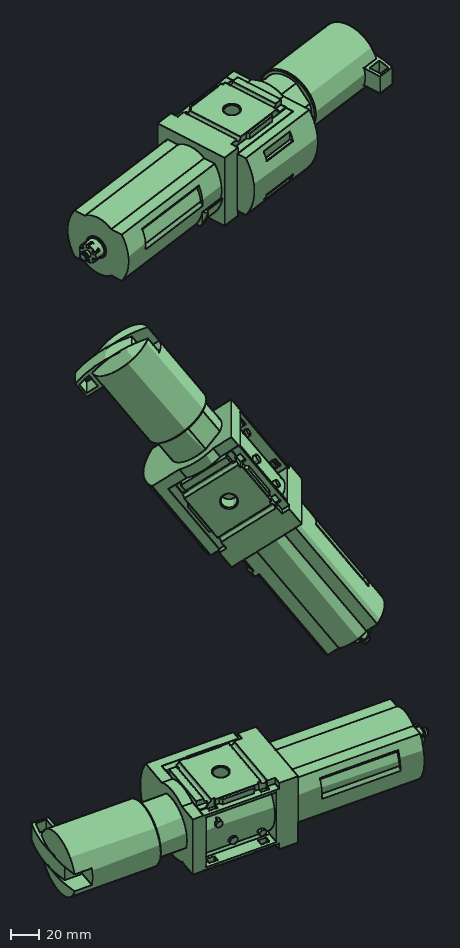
import cadquery as cq
import math

LENGTH = 300.3

KNOB_RADIUS = 51 / 2
KNOB_START = 227.3
KNOB_RIM = 296.7
KNOB_CHAMFER = 1.0
SLOT_START = 283.0
SLOT_WIDTH = 15.5

SLIDE_LENGTH = 49.5
SLIDE_TIP = 39.0
EYE_WALL = 1.8
EYE_TOP_WALL = 3.0
EYE_BASE = 285.5
EYE_WIDTH = 10.0

NECK_RADIUS = 22.2
NECK_FLAT = 20.5

HOUSING_HALF_HEIGHT = 62.0 / 2
HOUSING_HALF_WIDTH = 30.5
HOUSING_START = 120.5
HOUSING_END = 205.0
LEDGE_START = 135.5
LEDGE_END = 196.5
FLANGE_HALF_HEIGHT = 25.8
LEDGE_HALF_HEIGHT = 25.5
SHOULDER_HALF_HEIGHT = 26.5
CROWN_RADIUS = 29.7
PLATE_HALF_WIDTH = 24.3
TAB_HALF_WIDTH = 19.8
GROOVE_WIDTH = 4.2
GROOVE_DEPTH = 2.7
UPPER_GROOVE = 188.3
LOWER_GROOVE = 143.8
LABEL_START = 152.0
LABEL_END = 180.2
LABEL_CHAMFER = 1.5
LABEL_OFFSET = 2.0
LABEL_HALF_HEIGHT = 30.3
CLIP_HOLE_X = (-27.5, -22.8)
CLIP_HOLES_Y = ((183.5, 190.0), (141.7, 148.3))
PORT_Y = 165.8
PORT_DIAMETER = 11.5
PORT_RIM_DIAMETER = 13.0
PORT_RIM_DEPTH = 1.0
PORT_DEPTH = 12.0

POCKET_START = 137.8
POCKET_END = 194.3
POCKET_MOUTH_HALF = 23.0
POCKET_FLOOR_HALF = 21.3
CORE_RADIUS = 28.5
STUD_END = -29.7
STUDS = ((183.2, 11.5, 5.5), (171.5, -8.7, 6.3), (148.0, -11.0, 5.5))

COVER_START = 134.5
COVER_EDGE = 38.5
COVER_TIP = 46.2
COVER_SLOT = (151.7, 180.8)
COVER_SLOT_X = (40.5, 43.5)
COVER_SLOT_FLOOR = 15.0

BOWL_START = 17.0
BOWL_FLAT_HALF = 21.0
BOWL_CORNER = 21.5
BOWL_SIDE = 28.0
BOWL_CROWN_HALF = 12.0
BOWL_CROWN = 25.2
WINDOW_START = 36.3
WINDOW_END = 99.5
WINDOW_LOW = -1.0
WINDOW_HIGH = 16.0
WINDOW_FLOOR_RADIUS = 26.0
WINDOW_TAPER = 3.0

LATCH_START = 99.7
LATCH_PEAK = 101.8
LATCH_SHOULDER = 104.0
LATCH_LOW = -21.0
LATCH_HIGH = -7.2
LATCH_THICKNESS = 1.5
LATCH_RISE = 3.5

DOME_RADIUS = 21.5
DOME_FLAT_RADIUS = 11.7
DOME_END = 15.5
DOME_MIDDLE = 16.2
RING_RADIUS = 8.7
RING_END = 14.7
DRAIN_RADIUS = 15 / 2
DRAIN_END = 5.7
DRAIN_NOTCHES = 6
DRAIN_NOTCH_DIAMETER = 2.7
DRAIN_NOTCH_RADIUS = 6.3
DRAIN_NOTCH_DEPTH = 4.8
STEM_RADIUS = 5.5 / 2
COLLAR_RADIUS = 3.3
COLLAR_START = 1.0
COLLAR_END = 2.7


def box(x, y, z):
    """Box between the given (low, high) limits."""
    return cq.Workplane("XY").box(
        x[1] - x[0], y[1] - y[0], z[1] - z[0], centered=False
    ).translate((x[0], y[0], z[0]))


def section(y):
    """Workplane across the axis at y; its normal points to -Y and its local axes are X and Z."""
    return cq.Workplane("XZ", origin=(0, y, 0))


def cylinder(radius, start, end):
    return section(end).circle(radius).extrude(end - start)


def both_sides(shape, plane):
    """Shape together with its mirror image."""
    return shape.union(shape.mirror(plane))


def make_knob():
    knob = (
        cq.Workplane("XY")
        .moveTo(0, KNOB_START)
        .lineTo(KNOB_RADIUS - KNOB_CHAMFER, KNOB_START)
        .lineTo(KNOB_RADIUS, KNOB_START + KNOB_CHAMFER)
        .lineTo(KNOB_RADIUS, KNOB_RIM)
        .threePointArc(dome_point(KNOB_RADIUS / 2), (0, LENGTH))
        .close()
        .revolve(360, (0, 0, 0), (0, 1, 0))
    )
    half = SLOT_WIDTH / 2
    slot = box((-KNOB_RADIUS, KNOB_RADIUS), (SLOT_START, LENGTH), (-half, half))
    return knob.cut(slot)


def dome_point(x):
    """Point on the domed end of the knob, x away from its axis."""
    height = LENGTH - KNOB_RIM
    radius = (KNOB_RADIUS ** 2 + height ** 2) / (2 * height)
    return x, LENGTH - radius + math.sqrt(radius ** 2 - x ** 2)


def make_neck():
    neck = cylinder(NECK_RADIUS, HOUSING_END, KNOB_START)
    flats = (
        section(KNOB_START)
        .rect(2 * NECK_FLAT, 2 * NECK_RADIUS)
        .extrude(KNOB_START - HOUSING_END)
        .rotate((0, 0, 0), (0, 1, 0), -45)
    )
    return neck.intersect(flats)


def make_top_plate():
    """Raised plate on the +Z face with a tab, two grooves and a label strip on each side."""
    levels = (0, HOUSING_HALF_HEIGHT)
    sides = (-PLATE_HALF_WIDTH, PLATE_HALF_WIDTH)
    plate = box(sides, (LEDGE_START, UPPER_GROOVE), levels)
    shoulder = box(sides, (UPPER_GROOVE, LEDGE_END), (0, SHOULDER_HALF_HEIGHT))
    tab = box((-TAB_HALF_WIDTH, TAB_HALF_WIDTH), (UPPER_GROOVE, LEDGE_END), levels)
    plate = plate.union(tab)
    for y in (UPPER_GROOVE, LOWER_GROOVE):
        plate = plate.cut(make_groove(y))
    plate = plate.union(shoulder.cut(make_groove(UPPER_GROOVE)))
    return plate.union(both_sides(make_label(), "YZ"))


def make_groove(y):
    """Round-bottomed groove across the plate, centred at y."""
    half = GROOVE_WIDTH / 2
    return (
        cq.Workplane("YZ", origin=(-PLATE_HALF_WIDTH, y, HOUSING_HALF_HEIGHT))
        .moveTo(-half, 0)
        .threePointArc((0, -GROOVE_DEPTH), (half, 0))
        .close()
        .extrude(2 * PLATE_HALF_WIDTH)
    )


def make_label():
    """Strip on the +X edge of the plate, a little lower than the plate."""
    outer = PLATE_HALF_WIDTH + LABEL_OFFSET
    return (
        cq.Workplane("XY")
        .moveTo(0, LABEL_START)
        .lineTo(PLATE_HALF_WIDTH, LABEL_START)
        .lineTo(outer, LABEL_START + LABEL_CHAMFER)
        .lineTo(outer, LABEL_END - LABEL_CHAMFER)
        .lineTo(PLATE_HALF_WIDTH, LABEL_END)
        .lineTo(0, LABEL_END)
        .close()
        .extrude(LABEL_HALF_HEIGHT)
    )


def make_clip_holes():
    """Openings through the ledges into the side pocket, outside the round core."""
    height = (-HOUSING_HALF_HEIGHT, HOUSING_HALF_HEIGHT)
    first, second = (box(CLIP_HOLE_X, y, height) for y in CLIP_HOLES_Y)
    core = cylinder(CORE_RADIUS, HOUSING_START, HOUSING_END)
    return first.union(second).cut(core)


def make_port():
    mouth = cq.Workplane("XY", origin=(0, PORT_Y, HOUSING_HALF_HEIGHT))
    rim = (
        mouth.circle(PORT_RIM_DIAMETER / 2)
        .workplane(offset=-PORT_RIM_DEPTH)
        .circle(PORT_DIAMETER / 2)
        .loft()
    )
    return rim.union(mouth.circle(PORT_DIAMETER / 2).extrude(-PORT_DEPTH))


def make_side_pocket():
    """Recess in the -X face, chamfered along the round core that it leaves standing."""
    chamfer_end = -math.sqrt(CORE_RADIUS ** 2 - POCKET_FLOOR_HALF ** 2)
    chamfer_start = chamfer_end - (POCKET_MOUTH_HALF - POCKET_FLOOR_HALF)
    pocket = (
        section(POCKET_END)
        .moveTo(-HOUSING_HALF_WIDTH, -POCKET_MOUTH_HALF)
        .lineTo(-HOUSING_HALF_WIDTH, POCKET_MOUTH_HALF)
        .lineTo(chamfer_start, POCKET_MOUTH_HALF)
        .lineTo(chamfer_end, POCKET_FLOOR_HALF)
        .lineTo(chamfer_end, -POCKET_FLOOR_HALF)
        .lineTo(chamfer_start, -POCKET_MOUTH_HALF)
        .close()
        .extrude(POCKET_END - POCKET_START)
    )
    pocket = pocket.cut(cylinder(CORE_RADIUS, POCKET_START, POCKET_END))
    for y, z, diameter in STUDS:
        stud = cq.Workplane("YZ", origin=(STUD_END, y, z)).circle(diameter / 2).extrude(-STUD_END)
        pocket = pocket.cut(stud)
    return pocket


def make_housing():
    width = (-HOUSING_HALF_WIDTH, HOUSING_HALF_WIDTH)
    height = (-HOUSING_HALF_HEIGHT, HOUSING_HALF_HEIGHT)
    lower_block = box(width, (HOUSING_START, LEDGE_START), height)
    middle = box(width, (LEDGE_START, LEDGE_END), (-LEDGE_HALF_HEIGHT, LEDGE_HALF_HEIGHT))
    flange = box(width, (LEDGE_END, HOUSING_END), (-FLANGE_HALF_HEIGHT, FLANGE_HALF_HEIGHT))
    housing = lower_block.union(middle).union(flange)
    housing = housing.union(cylinder(CROWN_RADIUS, LEDGE_END, HOUSING_END))
    housing = housing.union(both_sides(make_top_plate(), "XY"))
    housing = housing.cut(both_sides(make_port(), "XY"))
    return housing.cut(make_side_pocket()).cut(make_clip_holes())


def make_cover():
    cover = (
        section(HOUSING_END)
        .moveTo(HOUSING_HALF_WIDTH, -FLANGE_HALF_HEIGHT)
        .lineTo(COVER_EDGE, -FLANGE_HALF_HEIGHT)
        .threePointArc((COVER_TIP, 0), (COVER_EDGE, FLANGE_HALF_HEIGHT))
        .lineTo(HOUSING_HALF_WIDTH, FLANGE_HALF_HEIGHT)
        .close()
        .extrude(HOUSING_END - COVER_START)
    )
    slot = box(COVER_SLOT_X, COVER_SLOT, (COVER_SLOT_FLOOR, FLANGE_HALF_HEIGHT))
    return cover.cut(both_sides(slot, "XY"))


def bowl_side_x(z):
    """Half width of the bowl at height z, on its bulged side."""
    bulge = BOWL_SIDE - BOWL_CORNER
    radius = (BOWL_FLAT_HALF ** 2 + bulge ** 2) / (2 * bulge)
    return BOWL_SIDE - radius + math.sqrt(radius ** 2 - z ** 2)


def window_floor_x(z):
    """Distance of the window floor from the bowl axis at height z; the floor is round about the bowl axis."""
    return math.sqrt(WINDOW_FLOOR_RADIUS ** 2 - z ** 2)


def make_window():
    """Recess in the +X side of the bowl, with sloping long walls and a round floor."""
    middle = (WINDOW_LOW + WINDOW_HIGH) / 2
    floor_low = WINDOW_LOW + WINDOW_TAPER
    floor_high = WINDOW_HIGH - WINDOW_TAPER
    return (
        section(WINDOW_END)
        .moveTo(bowl_side_x(WINDOW_LOW), WINDOW_LOW)
        .lineTo(window_floor_x(floor_low), floor_low)
        .threePointArc(
            (window_floor_x(middle), middle),
            (window_floor_x(floor_high), floor_high),
        )
        .lineTo(bowl_side_x(WINDOW_HIGH), WINDOW_HIGH)
        .lineTo(BOWL_SIDE, WINDOW_HIGH)
        .lineTo(BOWL_SIDE, WINDOW_LOW)
        .close()
        .extrude(WINDOW_END - WINDOW_START)
    )


def make_bowl():
    bowl = (
        section(HOUSING_START)
        .moveTo(-BOWL_CROWN_HALF, BOWL_FLAT_HALF)
        .threePointArc((0, BOWL_CROWN), (BOWL_CROWN_HALF, BOWL_FLAT_HALF))
        .lineTo(BOWL_CORNER, BOWL_FLAT_HALF)
        .threePointArc((BOWL_SIDE, 0), (BOWL_CORNER, -BOWL_FLAT_HALF))
        .lineTo(BOWL_CROWN_HALF, -BOWL_FLAT_HALF)
        .threePointArc((0, -BOWL_CROWN), (-BOWL_CROWN_HALF, -BOWL_FLAT_HALF))
        .lineTo(-BOWL_CORNER, -BOWL_FLAT_HALF)
        .threePointArc((-BOWL_SIDE, 0), (-BOWL_CORNER, BOWL_FLAT_HALF))
        .close()
        .extrude(HOUSING_START - BOWL_START)
    )
    return bowl.cut(both_sides(make_window(), "YZ"))


def latch_layer(thickness, start, end):
    """Strip that lies on the bulged +X side of the bowl."""
    middle = (LATCH_LOW + LATCH_HIGH) / 2
    return (
        section(end)
        .moveTo(0, LATCH_LOW)
        .lineTo(bowl_side_x(LATCH_LOW) + thickness, LATCH_LOW)
        .threePointArc(
            (bowl_side_x(middle) + thickness, middle),
            (bowl_side_x(LATCH_HIGH) + thickness, LATCH_HIGH),
        )
        .lineTo(0, LATCH_HIGH)
        .close()
        .extrude(end - start)
    )


def make_latch():
    """Thin strip that ends in a wedge-shaped finger grip."""
    base = bowl_side_x(LATCH_HIGH)
    grip_profile = (
        cq.Workplane("XY", origin=(0, 0, LATCH_LOW))
        .moveTo(0, LATCH_START)
        .lineTo(base, LATCH_START)
        .lineTo(base + LATCH_RISE, LATCH_PEAK)
        .lineTo(base + LATCH_THICKNESS, LATCH_SHOULDER)
        .lineTo(0, LATCH_SHOULDER)
        .close()
        .extrude(LATCH_HIGH - LATCH_LOW)
    )
    grip = latch_layer(LATCH_RISE, LATCH_START, LATCH_SHOULDER).intersect(grip_profile)
    return latch_layer(LATCH_THICKNESS, LATCH_SHOULDER, HOUSING_START).union(grip)


def make_drain():
    dome_middle = (DOME_RADIUS + DOME_FLAT_RADIUS) / 2
    drain = (
        cq.Workplane("XY")
        .moveTo(0, BOWL_START)
        .lineTo(DOME_RADIUS, BOWL_START)
        .threePointArc((dome_middle, DOME_MIDDLE), (DOME_FLAT_RADIUS, DOME_END))
        .lineTo(RING_RADIUS, DOME_END)
        .lineTo(RING_RADIUS, RING_END)
        .lineTo(DRAIN_RADIUS, RING_END)
        .lineTo(DRAIN_RADIUS, DRAIN_END)
        .lineTo(STEM_RADIUS, DRAIN_END)
        .lineTo(STEM_RADIUS, COLLAR_END)
        .lineTo(COLLAR_RADIUS, COLLAR_END)
        .lineTo(COLLAR_RADIUS, COLLAR_START)
        .lineTo(STEM_RADIUS, 0)
        .lineTo(0, 0)
        .close()
        .revolve(360, (0, 0, 0), (0, 1, 0))
    )
    notches = (
        section(DRAIN_END + DRAIN_NOTCH_DEPTH)
        .polarArray(DRAIN_NOTCH_RADIUS, 90, 360, DRAIN_NOTCHES)
        .circle(DRAIN_NOTCH_DIAMETER / 2)
        .extrude(DRAIN_NOTCH_DEPTH)
    )
    return drain.cut(notches)


def make_regulator():
    regulator = make_housing()
    for make_part in (make_neck, make_knob, make_cover, make_bowl, make_latch, make_drain):
        regulator = regulator.union(make_part())
    return regulator


def make_slide():
    """Bar with an arched top edge and an eye at its +X end."""
    center = SLIDE_TIP - KNOB_RADIUS
    back_x = SLIDE_TIP - SLIDE_LENGTH
    eye_end = SLIDE_TIP - EYE_WALL
    eye_start = eye_end - EYE_WIDTH
    eye_middle = (eye_start + eye_end) / 2

    def arch(x, drop=0):
        return x, dome_point(x - center)[1] - drop

    plane = cq.Workplane("XY", origin=(0, 0, -SLOT_WIDTH / 2))
    bar = (
        plane.moveTo(back_x, SLOT_START)
        .lineTo(SLIDE_TIP, SLOT_START)
        .lineTo(*arch(SLIDE_TIP))
        .threePointArc(arch(center), arch(back_x))
        .close()
        .extrude(SLOT_WIDTH)
    )
    eye = (
        plane.moveTo(eye_start, EYE_BASE)
        .lineTo(eye_end, EYE_BASE)
        .lineTo(*arch(eye_end, EYE_TOP_WALL))
        .threePointArc(arch(eye_middle, EYE_TOP_WALL), arch(eye_start, EYE_TOP_WALL))
        .close()
        .extrude(SLOT_WIDTH)
    )
    return bar.cut(eye)


regulator = make_regulator()
slide = make_slide()

result = cq.Compound.makeCompound([regulator.val(), slide.val()])